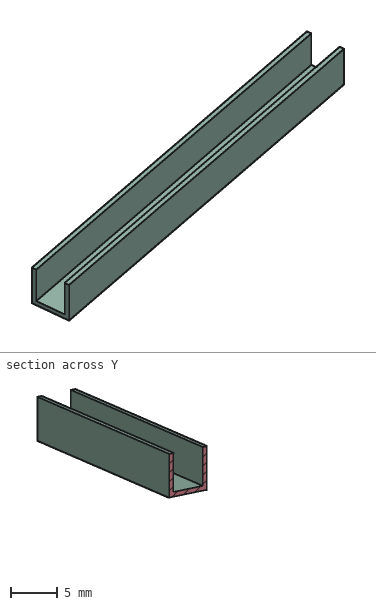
import cadquery as cq

width = 5.0
height = 5.0
length = 50.0
wall = 0.6

inner_width = width - 2 * wall
inner_height = height - wall


def box_on_base(size_x, size_z, base_z):
    """Full-length bar centred in X and Y, with its underside at base_z."""
    bar = cq.Workplane("XY").box(size_x, length, size_z, centered=(True, True, False))
    return bar.translate((0, 0, base_z))


outer_bar = box_on_base(width, height, 0)
channel = box_on_base(inner_width, inner_height, wall)

result = outer_bar.cut(channel)